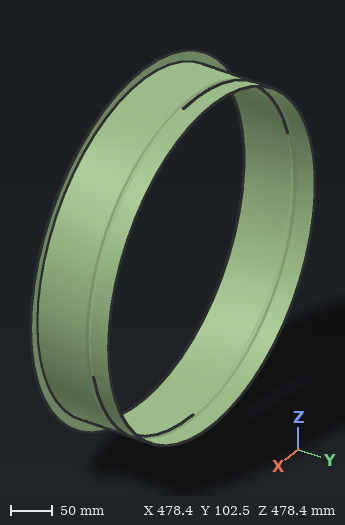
import cadquery as cq
import math

flange_diameter = 478.4
tube_diameter = 451.0
length = 102.5
sheet = 0.9

bead_depth = 3.1
bead_from_open_end = 29.0
bead_flank_angle = math.radians(50)
bead_floor_radius = 1.8
bead_shoulder_radius = 1.6

flange_radius = flange_diameter / 2
outer_radius = tube_diameter / 2
inner_radius = outer_radius - sheet
bead_y = length - bead_from_open_end


def ring(profile):
    """Revolve a closed radius-by-Y profile about the Y axis."""
    return profile.close().revolve(360, (0, 0, 0), (0, 1, 0))


def flanged_tube():
    """Thin tube with a flange standing outward at y = 0, rounded where the bore meets the flange."""
    bend_step = sheet * (1 - math.sqrt(0.5))
    profile = (
        cq.Workplane("XY")
        .moveTo(outer_radius, 0)
        .lineTo(flange_radius, 0)
        .lineTo(flange_radius, sheet)
        .lineTo(outer_radius, sheet)
        .lineTo(outer_radius, length)
        .lineTo(inner_radius, length)
        .lineTo(inner_radius, sheet)
        .threePointArc((inner_radius + bend_step, bend_step), (outer_radius, 0))
    )
    return ring(profile)


def bead_ring(wall_radius, floor_radius, shoulder_radius):
    """Ring between a tube face and the bead: round floor, straight flanks, round shoulders."""
    floor_centre = wall_radius - bead_depth + floor_radius
    shoulder_centre = wall_radius - shoulder_radius
    arcs_rise = (floor_radius + shoulder_radius) * (1 - math.cos(bead_flank_angle))
    flank_run = (bead_depth - arcs_rise) / math.tan(bead_flank_angle)
    arcs_run = (floor_radius + shoulder_radius) * math.sin(bead_flank_angle)
    half_width = flank_run + arcs_run

    def floor_point(angle):
        return (floor_centre - floor_radius * math.cos(angle), bead_y + floor_radius * math.sin(angle))

    def shoulder_point(side, angle):
        offset = half_width - shoulder_radius * math.sin(angle)
        return (shoulder_centre + shoulder_radius * math.cos(angle), bead_y + side * offset)

    half_angle = bead_flank_angle / 2
    profile = (
        cq.Workplane("XY")
        .moveTo(*shoulder_point(-1, 0))
        .threePointArc(shoulder_point(-1, half_angle), shoulder_point(-1, bead_flank_angle))
        .lineTo(*floor_point(-bead_flank_angle))
        .threePointArc(floor_point(0), floor_point(bead_flank_angle))
        .lineTo(*shoulder_point(1, bead_flank_angle))
        .threePointArc(shoulder_point(1, half_angle), shoulder_point(1, 0))
    )
    return ring(profile)


bead_metal = bead_ring(inner_radius, bead_floor_radius + sheet, bead_shoulder_radius - sheet)
bead_groove = bead_ring(outer_radius, bead_floor_radius, bead_shoulder_radius)

result = flanged_tube().union(bead_metal).cut(bead_groove)